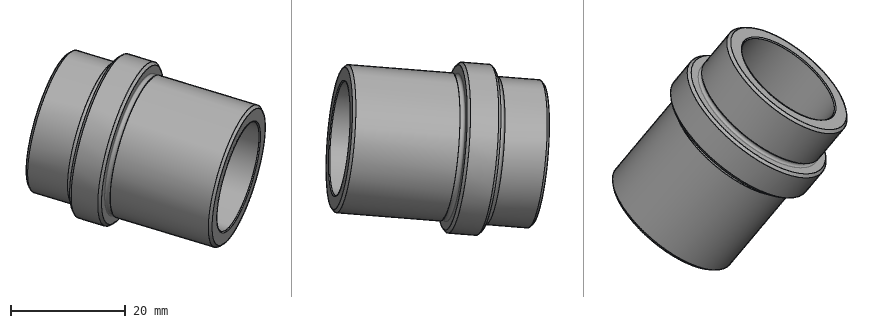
import cadquery as cq

length = 35.0
body_diameter = 26.0
bore_diameter = 20.0
collar_diameter = 30.0
collar_start = 9.0
collar_width = 6.0
groove_width = 1.0
edge_chamfer = 0.5
bore_chamfer = 0.2

collar_end = collar_start + collar_width
body_radius = body_diameter / 2
bore_radius = bore_diameter / 2
collar_radius = collar_diameter / 2
groove_radius = groove_width / 2
left_face = -length / 2


def cylinder(start, size, radius):
    """Solid cylinder along X, beginning at the given distance from the left end."""
    plane = cq.Workplane("YZ", origin=(left_face + start, 0, 0))
    return plane.circle(radius).extrude(size)


def relief_groove(center):
    """Ring of round section, centred on the body surface, that cuts a half-round groove."""
    section = cq.Workplane("XY").center(left_face + center, body_radius).circle(groove_radius)
    return section.revolve(360, (0, -body_radius, 0), (1, -body_radius, 0))


def bore():
    """Through bore with a chamfer at each mouth."""
    mouth_radius = bore_radius + bore_chamfer
    profile = [
        (left_face, 0),
        (left_face, mouth_radius),
        (left_face + bore_chamfer, bore_radius),
        (-left_face - bore_chamfer, bore_radius),
        (-left_face, mouth_radius),
        (-left_face, 0),
    ]
    return cq.Workplane("XY").polyline(profile).close().revolve(360, (0, 0, 0), (1, 0, 0))


body = cylinder(0, length, body_radius).edges().chamfer(edge_chamfer)
for groove_center in (collar_start - groove_radius, collar_end + groove_radius):
    body = body.cut(relief_groove(groove_center))

collar = cylinder(collar_start, collar_width, collar_radius).edges().chamfer(edge_chamfer)

result = body.union(collar).cut(bore())